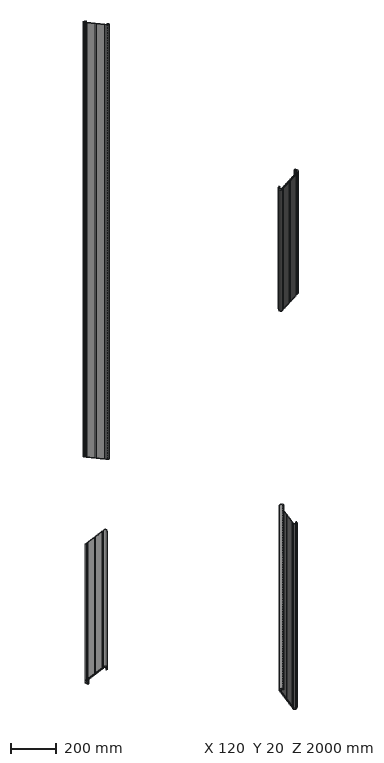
import cadquery as cq
import math

length = 2000.0
width = 120.0
depth = 20.0
web_thickness = 5.0
flange_width = 12.0
lip_thickness = 5.0
wall_thickness = 8.0

ridge_y = -1.5
ridge_round = 5.0
rear_slope = math.radians(25)
front_slope = math.radians(20)
front_round = 5.0

groove_width = 5.0
groove_depth = 2.0
side_groove_x = 45.0

front_y = -depth / 2
rear_y = depth / 2
web_rear_y = front_y + web_thickness
lip_front_y = rear_y - lip_thickness
ridge_x = width / 2
lip_tip_x = ridge_x - flange_width
wall_inner_x = ridge_x - wall_thickness


def ridge_point(angle):
    """Point on the ridge round, at an angle measured from +X."""
    x = ridge_x - ridge_round + ridge_round * math.cos(angle)
    y = ridge_y + ridge_round * math.sin(angle)
    return x, y


def half_channel():
    """The +X half of the channel: web, sloping flange and inward lip."""
    ridge_front = ridge_point(-front_slope)
    ridge_rear = ridge_point(rear_slope)
    front_x = ridge_front[0] - (ridge_front[1] - front_y) * math.tan(front_slope)
    rear_x = ridge_rear[0] - (rear_y - ridge_rear[1]) * math.tan(rear_slope)
    half = (
        cq.Workplane("XY", origin=(0, 0, -length / 2))
        .moveTo(0, front_y)
        .lineTo(front_x, front_y)
        .lineTo(*ridge_front)
        .threePointArc(ridge_point(0), ridge_rear)
        .lineTo(rear_x, rear_y)
        .lineTo(lip_tip_x, rear_y)
        .lineTo(lip_tip_x, lip_front_y)
        .lineTo(wall_inner_x, lip_front_y)
        .lineTo(wall_inner_x, web_rear_y)
        .lineTo(0, web_rear_y)
        .close()
        .extrude(length)
    )
    front_corner = cq.selectors.NearestToPointSelector((front_x, front_y, 0))
    return half.edges(front_corner).fillet(front_round)


def groove(center_x):
    """Cutter for one groove in the front face."""
    cutter = cq.Workplane("XY").box(groove_width, 2 * groove_depth, length)
    return cutter.translate((center_x, front_y, 0))


right_half = half_channel()
result = right_half.union(right_half.mirror("YZ"), clean=True)
for groove_x in (-side_groove_x, 0, side_groove_x):
    result = result.cut(groove(groove_x))